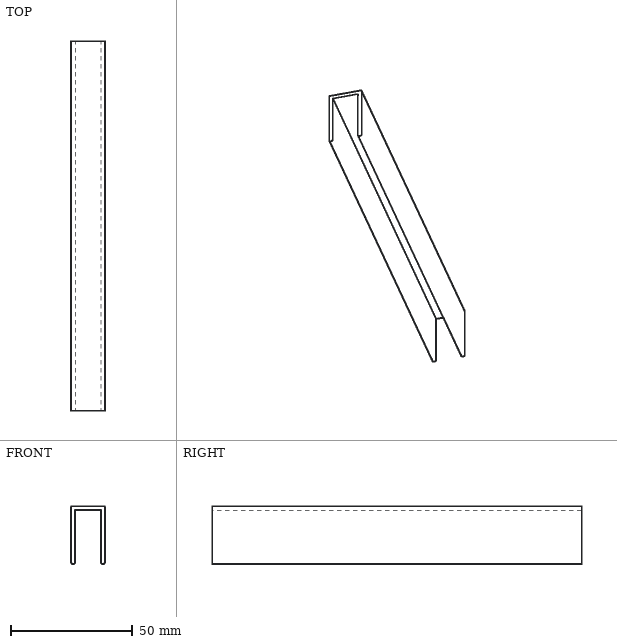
import cadquery as cq

width = 14.0
length = 152.4
height = 24.0
wall = 1.7
top_edge_radius = 0.5
leg_tip_radius = 0.8

bar = (
    cq.Workplane("XY")
    .box(width, length, height)
    .edges("|Y and >Z")
    .fillet(top_edge_radius)
)

slot = (
    cq.Workplane("XY")
    .box(width - 2 * wall, length, height - wall)
    .translate((0, 0, -wall / 2))
)
channel = bar.cut(slot)

result = channel.faces("<Z").edges("|Y").fillet(leg_tip_radius)